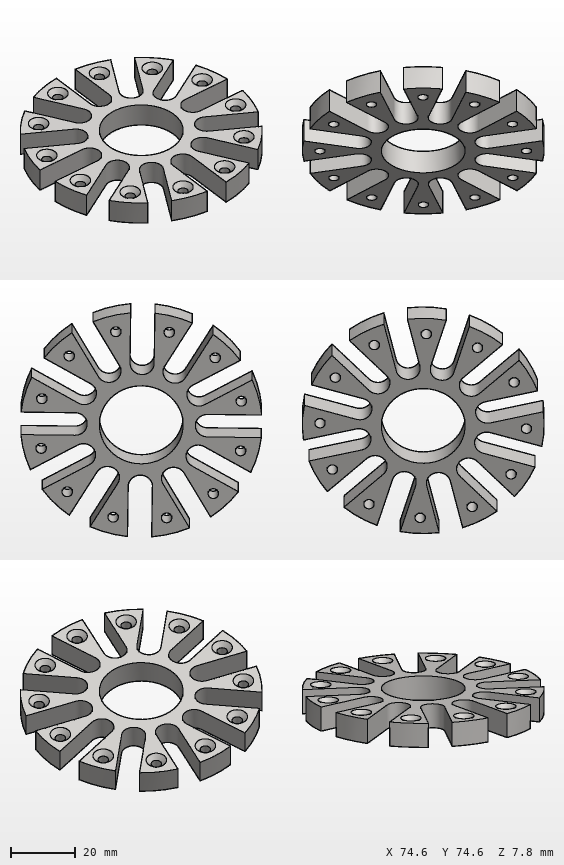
import cadquery as cq
import math

outer_side = 74.6
thickness = 7.8
bore_diameter = 26.0

slot_count = 12
slot_width = 7.45
slot_inner_reach = 16.8

hole_diameter = 3.2
hole_circle_radius = 32.0
head_diameter = 6.35
countersink_angle = 90.0

rim_radius = math.hypot(outer_side / 2, slot_width / 2)
slot_pitch = 360.0 / slot_count


def make_disc():
    return cq.Workplane("XY").circle(rim_radius).circle(bore_diameter / 2).extrude(thickness)


def make_slot(angle):
    end_center = slot_inner_reach + slot_width / 2
    length = rim_radius - end_center + slot_width
    channel = (
        cq.Workplane("XY")
        .center(end_center + length / 2, 0)
        .rect(length, slot_width)
        .extrude(thickness)
    )
    round_end = cq.Workplane("XY").center(end_center, 0).circle(slot_width / 2).extrude(thickness)
    return channel.union(round_end).rotate((0, 0, 0), (0, 0, 1), angle)


def hole_points():
    angles = [math.radians((arm + 0.5) * slot_pitch) for arm in range(slot_count)]
    return [(hole_circle_radius * math.cos(a), hole_circle_radius * math.sin(a)) for a in angles]


def top_plane(body):
    return body.faces(">Z").workplane(origin=(0, 0, thickness))


result = make_disc()
for index in range(slot_count):
    result = result.cut(make_slot(index * slot_pitch))

result = (
    top_plane(result)
    .pushPoints(hole_points())
    .cskHole(hole_diameter, head_diameter, countersink_angle)
)